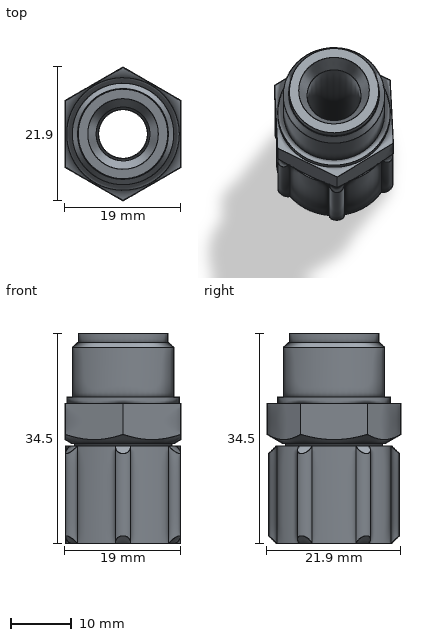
import cadquery as cq
import math

total_height = 34.5

nut_diameter = 18.9
nut_height = 16.05
rib_count = 6
rib_radius = 1.25
rib_centre_radius = 9.5
rib_end_chamfer = 1.28

neck_diameter = 16.0

hex_across_flats = 19.0
hex_bottom = 16.4
hex_top = 23.0
hex_chamfer_diameter = 16.65
hex_chamfer_angle = 30.0

collar_diameter = 18.5
collar_top = 24.05
spigot_diameter = 16.65
spigot_top = 32.2
shoulder_diameter = 14.9
shoulder_top = 33.0
tip_diameter = 14.7

mouth_diameter = 11.6
mouth_depth = 2.25
throat_diameter = 8.83
outlet_diameter = 8.0


def cylinder(diameter, bottom, top):
    return cq.Workplane("XY").workplane(offset=bottom).circle(diameter / 2).extrude(top - bottom)


def revolve_profile(points):
    """Turn a closed outline of (radius, height) points about the Z axis."""
    return cq.Workplane("XZ").polyline(points).close().revolve(360, (0, 0), (0, 1))


def make_nut():
    nut = cylinder(nut_diameter, 0, nut_height)
    ribs = (
        cq.Workplane("XY")
        .polarArray(rib_centre_radius, 90, 360, rib_count)
        .circle(rib_radius)
        .extrude(nut_height)
    )
    end_radius = nut_diameter / 2
    crest_radius = rib_centre_radius + rib_radius
    envelope = revolve_profile([
        (0, 0),
        (end_radius, 0),
        (crest_radius, rib_end_chamfer),
        (crest_radius, nut_height - rib_end_chamfer),
        (end_radius, nut_height),
        (0, nut_height),
    ])
    return nut.union(ribs.intersect(envelope))


def make_hexagon():
    corner_diameter = hex_across_flats / math.cos(math.radians(30))
    hexagon = (
        cq.Workplane("XY")
        .workplane(offset=hex_bottom)
        .transformed(rotate=(0, 0, 90))
        .polygon(6, corner_diameter)
        .extrude(hex_top - hex_bottom)
    )
    cone_radius = corner_diameter
    base_radius = hex_chamfer_diameter / 2
    cone_rise = (cone_radius - base_radius) * math.tan(math.radians(hex_chamfer_angle))
    cone = revolve_profile([
        (0, hex_bottom),
        (base_radius, hex_bottom),
        (cone_radius, hex_bottom + cone_rise),
        (0, hex_bottom + cone_rise),
    ])
    return hexagon.intersect(cone)


def make_spigot():
    return revolve_profile([
        (0, hex_top),
        (collar_diameter / 2, hex_top),
        (collar_diameter / 2, collar_top),
        (spigot_diameter / 2, collar_top),
        (spigot_diameter / 2, spigot_top),
        (shoulder_diameter / 2, shoulder_top),
        (tip_diameter / 2, shoulder_top),
        (tip_diameter / 2, total_height),
        (0, total_height),
    ])


def make_bore():
    return revolve_profile([
        (0, 0),
        (outlet_diameter / 2, 0),
        (throat_diameter / 2, total_height - mouth_depth),
        (mouth_diameter / 2, total_height),
        (0, total_height),
    ])


neck = cylinder(neck_diameter, nut_height, hex_bottom)
result = make_nut().union(neck).union(make_hexagon()).union(make_spigot()).cut(make_bore())